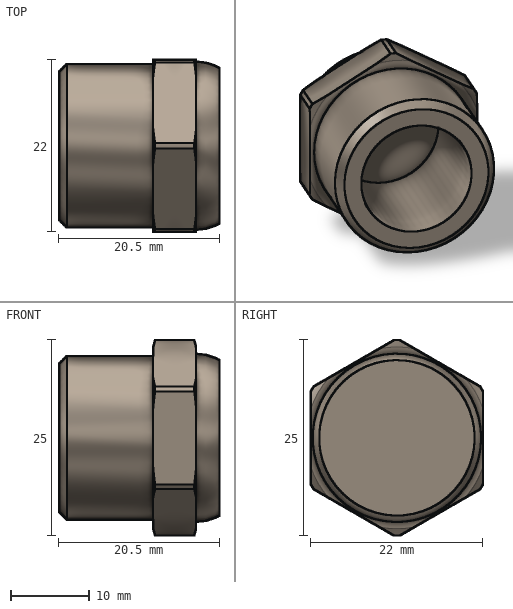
import cadquery as cq
import math

shank_length = 12.0
hex_length = 5.5
dome_length = 3.0
total_length = shank_length + hex_length + dome_length
hex_end = shank_length + hex_length

shank_diameter = 20.95
shank_chamfer = 1.0
bore_diameter = 14.5
bore_depth = hex_end

across_flats = 22.0
corner_diameter = 25.0
bevel_start_diameter = 23.2
bevel_length = 0.25

dome_base_diameter = 21.5
dome_end_diameter = 19.85


def make_shank():
    shank = cq.Workplane("YZ").circle(shank_diameter / 2).extrude(shank_length)
    return shank.faces("<X").chamfer(shank_chamfer)


def make_hexagon():
    across_corners = across_flats / math.cos(math.pi / 6)
    prism = (
        cq.Workplane("YZ")
        .workplane(offset=shank_length)
        .transformed(rotate=(0, 0, 90))
        .polygon(6, across_corners)
        .extrude(hex_length)
    )
    bevel_depth = (corner_diameter - bevel_start_diameter) / 2
    turned_blank = (
        cq.Workplane("YZ")
        .workplane(offset=shank_length)
        .circle(corner_diameter / 2)
        .extrude(hex_length)
        .faces("<X or >X")
        .edges()
        .chamfer(bevel_length, bevel_depth)
    )
    return prism.intersect(turned_blank)


def make_dome():
    base_radius = dome_base_diameter / 2
    end_radius = dome_end_diameter / 2
    radial_drop = base_radius - end_radius
    arc_radius = (dome_length**2 + radial_drop**2) / (2 * radial_drop)
    half_sweep = math.asin(dome_length / arc_radius) / 2
    arc_middle = (
        hex_end + arc_radius * math.sin(half_sweep),
        base_radius - arc_radius * (1 - math.cos(half_sweep)),
    )
    return (
        cq.Workplane("XY")
        .moveTo(hex_end, 0)
        .lineTo(hex_end, base_radius)
        .threePointArc(arc_middle, (total_length, end_radius))
        .lineTo(total_length, 0)
        .close()
        .revolve(360, (0, 0, 0), (1, 0, 0))
    )


def make_bore():
    return cq.Workplane("YZ").circle(bore_diameter / 2).extrude(bore_depth)


result = make_shank().union(make_hexagon()).union(make_dome()).cut(make_bore())